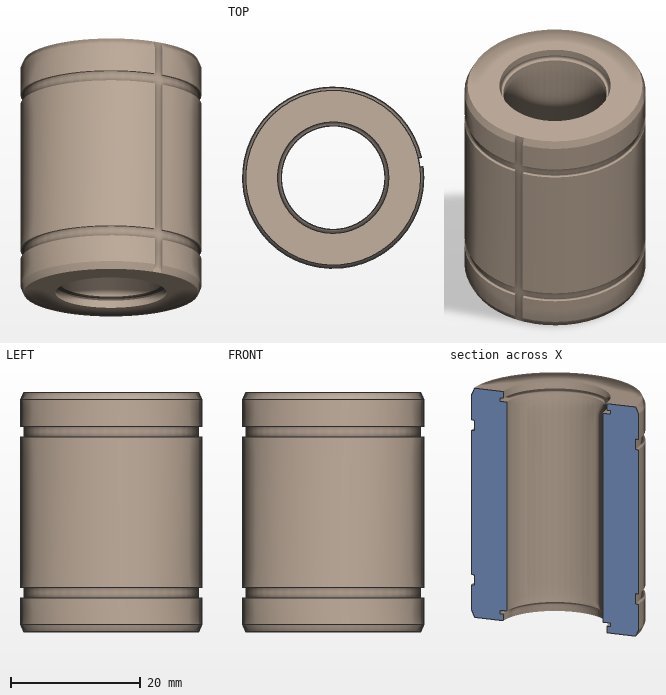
import cadquery as cq

length = 37.0
outer_diameter = 28.0
bore_diameter = 16.0
mouth_diameter = 17.2
mouth_lip = 1.15
undercut_diameter = 18.4
undercut_width = 0.48

end_face_diameter = 27.0
taper_height = 1.1

groove_diameter = 27.0
groove_width = 1.6
groove_span = 26.5
cut_margin = 0.37

slot_width = 1.4
slot_angle = 10.0


def cylinder(diameter, height, bottom):
    return cq.Workplane("XY").workplane(offset=bottom).circle(diameter / 2).extrude(height)


def tapered_body():
    taper_depth = (outer_diameter - end_face_diameter) / 2
    body = cylinder(outer_diameter, length, -length / 2)
    return body.faces("<Z or >Z").chamfer(taper_height, taper_depth)


def outer_ring(height, bottom):
    ring = cylinder(outer_diameter + cut_margin, height, bottom)
    return ring.cut(cylinder(groove_diameter, height, bottom))


def slot():
    strip = cq.Workplane("XY").box(outer_diameter, slot_width, length, centered=(False, True, True))
    strip = strip.rotate((0, 0, 0), (0, 0, 1), slot_angle)
    return strip.intersect(outer_ring(length, -length / 2))


result = tapered_body()
result = result.cut(cylinder(bore_diameter, length, -length / 2))
for groove_bottom in (-groove_span / 2, groove_span / 2 - groove_width):
    result = result.cut(outer_ring(groove_width, groove_bottom))
for mouth_bottom in (-length / 2, length / 2 - mouth_lip):
    result = result.cut(cylinder(mouth_diameter, mouth_lip, mouth_bottom))
undercut_start = length / 2 - mouth_lip
for undercut_bottom in (-undercut_start, undercut_start - undercut_width):
    result = result.cut(cylinder(undercut_diameter, undercut_width, undercut_bottom))
result = result.cut(slot())